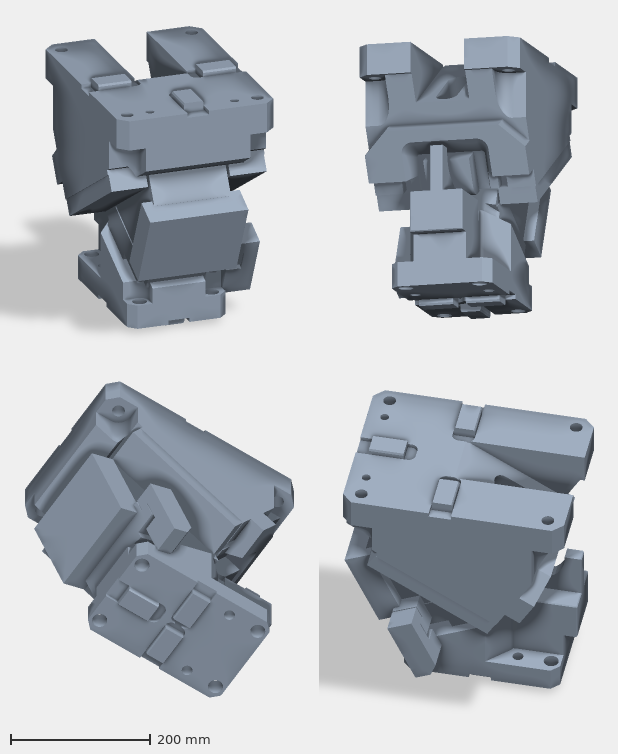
import cadquery as cq
import math

FAR = 558.0

SLIDE_ANGLE = 30.0
SLIDE_X, SLIDE_Z = 82.5, 153.3
DRIVE_ANGLE = 25.0
DRIVE_X, DRIVE_Z = 81.0, 117.5

HOLDER_X0, HOLDER_X1 = -14.5, 310.0
HOLDER_WIDTH = 240.0
HOLDER_TOP = 355.0
HOLDER_PLATE = 45.0
HOLDER_CHAMFER = 15.0
SLIDE_LENGTH = 204.2
STOP_GROOVE_END, STOP_GROOVE_DEPTH = 216.0, 7.5
STOP_LIP = 9.0
FLANGE_THICK, FLANGE_TOP, FLANGE_CHAMFER = 25.0, 103.8, 35.0
NOTCH_HEIGHT = 26.5
POCKET_DEPTH = 27.5
POCKET_TOP, POCKET_HALF_WIDTH, POCKET_RADIUS = 85.0, 64.7, 16.7
POCKET_FLOOR_RADIUS = 4.5
POCKET_SIDE_DRAFT, POCKET_TOP_DRAFT = 14.0, 27.5
SPRING_STOP_WIDTH, SPRING_STOP_TOP, SPRING_STOP_BOTTOM = 68.5, 56.0, -3.5
SPRING_STOP_FRONT, SPRING_STOP_RADIUS = -26.0, 14.0
RAMP_LEVEL, RAMP_WIDTH = 136.0, 80.0
RAMP_SLOT_U, RAMP_SLOT_LENGTH, RAMP_SLOT_WIDTH, RAMP_SLOT_DEPTH = 59.5, 100.5, 31.2, 47.5
BOLT_X, BOLT_Y, BOLT_DIA, BOLT_CLEARANCE = (10.5, 284.2), 99.7, 18.2, 19.7
DOWEL_Y, DOWEL_DIA, DOWEL_DEPTH = 64.7, 12.5, 29.8
GIB_START, GIB_THICK, GIB_INNER, GIB_OUTER = 0.7, 24.5, 63.0, 118.5
MOUTH_DEPTH, MOUTH_HALF_WIDTH = 18.5, 78.0

KEY_SLOT_DEPTH, KEY_SLOT_WIDTH, KEY_SLOT_RADIUS = 6.5, 32.7, 10.5
KEY_WIDTH, KEY_LENGTH, KEY_HEIGHT = 30.5, 50.5, 8.5
KEY_CHAMFER_WIDTH, KEY_CHAMFER_HEIGHT = 1.5, 3.0

BASE_LENGTH, BASE_WIDTH, BASE_PLATE, BASE_CHAMFER = 229.0, 150.3, 35.7, 12.0
COLUMN_WIDTH, COLUMN_TOP = 79.0, 118.3
COLUMN_END = 68.5
CORNER_X, CORNER_Y = 73.5, 39.8
WEDGE_X, WEDGE_Y = 76.0, 43.5
POST_X0, POST_X1, POST_BOTTOM, POST_TOP = -20.0, 60.5, 74.8, 134.3
POST_CHAMFER, POST_SLIT, POST_SLIT_BOTTOM = 1.5, 1.5, 103.5
FIN_THICK, FIN_TOP, FIN_TOP_X, FIN_END_X, FIN_END_Z = 19.0, 200.0, 5.0, 44.0, 149.5
FIN_ARC_X, FIN_ARC_Z = 9.0, 177.5
FIN_SLOPE_X, FIN_SLOPE_Z = 19.0, 163.5
GUIDE_START, GUIDE_STEP, GUIDE_END = -2.0, 86.3, 147.0
GUIDE_HALF_WIDTH, GUIDE_REAR_HALF_WIDTH = 60.3, 44.5
GUIDE_SIDE, GUIDE_RIDGE, GUIDE_CHAMFER = 12.3, 27.0, 18.0
TAIL_WIDTH, TAIL_LEVEL = 81.0, 9.5
BASE_BOLT_INSET, BASE_BOLT_Y, BASE_BOLT_DIA, BASE_BOLT_CLEARANCE = 15.0, 55.0, 21.5, 14.5
BASE_DOWEL_X, BASE_DOWEL_DIA = 63.5, 15.5
CLAW_START, CLAW_OUTER, CLAW_TOP, CLAW_BOTTOM, CLAW_CHAMFER = 108.0, 119.0, 66.0, -32.5, 14.5
CLAW_GAP, CLAW_FLOOR = 2.0, 14.5

NECK_HALF_WIDTH = 58.8
HEAD_START, HEAD_END, HEAD_BOTTOM, HEAD_TOP = 137.3, 178.0, 50.0, 169.5
RAIL_NECK_Y, RAIL_Y, RAIL_TOP, RAIL_BOTTOM = 82.5, 96.5, 45.5, 23.5


def tilted_plane(x, z, angle):
    """Side plane whose first axis leans up by angle degrees; its second axis points upward."""
    a = math.radians(angle)
    return cq.Plane(origin=(x, 0, z), xDir=(math.cos(a), 0, math.sin(a)), normal=(0, -1, 0))


UPRIGHT = tilted_plane(0, 0, 0)
SLIDE = tilted_plane(SLIDE_X, SLIDE_Z, SLIDE_ANGLE)
DRIVE = tilted_plane(DRIVE_X, DRIVE_Z, -DRIVE_ANGLE)


def slab(plane, points, y0, y1):
    """Side outline extruded from y0 to y1."""
    return cq.Workplane(plane).workplane(offset=-y1).polyline(points).close().extrude(y1 - y0)


def block(plane, a0, a1, b0, b1, y0, y1):
    """Rectangular block in a side plane, from y0 to y1."""
    return slab(plane, [(a0, b0), (a1, b0), (a1, b1), (a0, b1)], y0, y1)


def upright_box(x0, x1, y0, y1, z0, z1):
    return block(UPRIGHT, x0, x1, z0, z1, y0, y1)


def vertical_holes(points, diameter, z0, z1):
    return cq.Workplane("XY", origin=(0, 0, z0)).pushPoints(points).circle(diameter / 2).extrude(z1 - z0)


def corner_reliefs(x, outward, y, radius, z0, z1):
    """Clearances around the bolts at one end: square toward the outside, rounded toward the middle."""
    reach = BASE_WIDTH / 2
    reliefs = cq.Workplane("XY")
    for side in (-1, 1):
        xs = sorted((x - outward * radius, x + outward * reach))
        ys = sorted((side * (y - radius), side * (y + reach)))
        relief = upright_box(*xs, *ys, z0, z1)
        inner = cq.selectors.NearestToPointSelector((x - outward * radius, side * (y - radius), (z0 + z1) / 2))
        reliefs = reliefs.add(relief.edges(inner).fillet(radius - 0.05))
    return reliefs.combine()


def key_slot(length):
    """Slot below Z = 0, running along +X from its inner end at the origin."""
    slot = upright_box(0, length, -KEY_SLOT_WIDTH / 2, KEY_SLOT_WIDTH / 2, -KEY_SLOT_DEPTH, KEY_HEIGHT)
    return slot.edges("|Z and <X").fillet(KEY_SLOT_RADIUS)


def key(start):
    """Key seated in a slot along +X, with its two long top edges chamfered."""
    half = KEY_WIDTH / 2
    profile = [
        (-half, -KEY_SLOT_DEPTH), (half, -KEY_SLOT_DEPTH), (half, KEY_HEIGHT - KEY_CHAMFER_HEIGHT),
        (half - KEY_CHAMFER_WIDTH, KEY_HEIGHT), (KEY_CHAMFER_WIDTH - half, KEY_HEIGHT),
        (-half, KEY_HEIGHT - KEY_CHAMFER_HEIGHT),
    ]
    return cq.Workplane("YZ", origin=(start, 0, 0)).polyline(profile).close().extrude(KEY_LENGTH)


def below_gibs():
    return block(SLIDE, -FAR, FAR, -FAR, -GIB_THICK, -FAR, FAR)


def guide_roof():
    """Space below the roof-shaped guide faces, along the whole drive line."""
    half = GUIDE_HALF_WIDTH
    plane = cq.Plane(origin=DRIVE.origin.toTuple(), xDir=(0, 1, 0), normal=DRIVE.xDir.toTuple())
    points = [(-half, -FAR), (half, -FAR), (half, GUIDE_SIDE), (0, GUIDE_RIDGE), (-half, GUIDE_SIDE)]
    return cq.Workplane(plane).polyline(points).close().extrude(FAR, both=True)


def holder_body():
    half = HOLDER_WIDTH / 2
    plate_bottom = HOLDER_TOP - HOLDER_PLATE
    plate = upright_box(HOLDER_X0, HOLDER_X1, -half, half, plate_bottom, HOLDER_TOP)
    plate = plate.edges("|Z").chamfer(HOLDER_CHAMFER)
    outline = [
        (0, 0), (SLIDE_LENGTH, 0),
        (SLIDE_LENGTH, STOP_GROOVE_DEPTH), (STOP_GROOVE_END, STOP_GROOVE_DEPTH),
        (STOP_GROOVE_END, -STOP_LIP), (FAR, -STOP_LIP), (FAR, FAR), (0, FAR),
    ]
    trunk = slab(SLIDE, outline, -half, half)
    trunk = trunk.intersect(upright_box(HOLDER_X0, HOLDER_X1, -half, half, 0, plate_bottom))
    for x, outward in zip(BOLT_X, (-1, 1)):
        trunk = trunk.cut(corner_reliefs(x, outward, BOLT_Y, BOLT_CLEARANCE, 0, plate_bottom))
    return plate.union(trunk)


def holder_flange():
    """Thick apron on the sloped front with chamfered upper corners."""
    half = HOLDER_WIDTH / 2
    apron = block(SLIDE, -FLANGE_THICK, 0, NOTCH_HEIGHT, FLANGE_TOP, -half, half)
    upper_corners = cq.selectors.ParallelDirSelector(SLIDE.xDir)
    return apron.edges(upper_corners).edges(">Z").chamfer(FLANGE_CHAMFER)


def pocket_outline(depth, inset_side, inset_top, radius):
    """Closed pocket contour at a depth behind the apron face, running out below the slide line."""
    face = cq.Plane(
        origin=SLIDE.toWorldCoords((depth - FLANGE_THICK, 0, 0)).toTuple(),
        xDir=(0, -1, 0), normal=(-SLIDE.xDir).toTuple(),
    )
    half = POCKET_HALF_WIDTH - inset_side
    top = POCKET_TOP - inset_top
    outline = (
        cq.Workplane(face)
        .moveTo(-half, -GIB_THICK).lineTo(-half, top - radius).radiusArc((-half + radius, top), radius)
        .lineTo(half - radius, top).radiusArc((half, top - radius), radius)
        .lineTo(half, -GIB_THICK).close()
    )
    return outline.val()


def flange_pocket():
    """Drafted pocket in the apron, open at the bottom."""
    mouth_outline = pocket_outline(0, 0, 0, POCKET_RADIUS)
    floor_outline = pocket_outline(POCKET_DEPTH, POCKET_SIDE_DRAFT, POCKET_TOP_DRAFT, POCKET_FLOOR_RADIUS)
    return cq.Workplane(cq.Solid.makeLoft([mouth_outline, floor_outline], True))


def spring_stop():
    """Block standing on the pocket floor, rounded underneath."""
    half = SPRING_STOP_WIDTH / 2
    back = POCKET_DEPTH - FLANGE_THICK
    stop = block(SLIDE, SPRING_STOP_FRONT, back, SPRING_STOP_BOTTOM, SPRING_STOP_TOP, -half, half)
    return stop.edges("|Y and <Z").fillet(SPRING_STOP_RADIUS)


def ramp_cut():
    """Sloped channel in the top with a round-ended slot sunk square to its floor."""
    half = RAMP_WIDTH / 2
    channel = block(SLIDE, -FAR, FAR, RAMP_LEVEL, FAR, -half, half)
    floor = cq.Plane(
        origin=SLIDE.toWorldCoords((RAMP_SLOT_U, RAMP_LEVEL, 0)).toTuple(),
        xDir=SLIDE.xDir.toTuple(), normal=SLIDE.yDir.toTuple(),
    )
    slot = cq.Workplane(floor).slot2D(RAMP_SLOT_LENGTH, RAMP_SLOT_WIDTH).extrude(-RAMP_SLOT_DEPTH)
    return channel.union(slot)


def mouth():
    """Opening at the lower end of the slide, above the inner parts of the gibs."""
    opening = cq.Workplane("XY")
    for y0, y1 in ((-MOUTH_HALF_WIDTH, -POCKET_HALF_WIDTH), (POCKET_HALF_WIDTH, MOUTH_HALF_WIDTH)):
        opening = opening.add(block(SLIDE, 0, MOUTH_DEPTH, 0, NOTCH_HEIGHT, y0, y1))
    return opening.combine()


def make_holder():
    holder = holder_body()
    bolts = [(x, side * BOLT_Y) for x in BOLT_X for side in (-1, 1)]
    holder = holder.cut(vertical_holes(bolts, BOLT_DIA, 0, HOLDER_TOP))
    dowels = [(BOLT_X[1], side * DOWEL_Y) for side in (-1, 1)]
    holder = holder.cut(vertical_holes(dowels, DOWEL_DIA, HOLDER_TOP - DOWEL_DEPTH, HOLDER_TOP))
    holder = holder.union(holder_flange()).cut(flange_pocket()).cut(mouth()).union(spring_stop()).cut(ramp_cut())
    for y0, y1 in ((-GIB_OUTER, -GIB_INNER), (GIB_INNER, GIB_OUTER)):
        holder = holder.union(block(SLIDE, GIB_START, SLIDE_LENGTH, -GIB_THICK, 0, y0, y1))
    for x, y, heading, start in ((224.0, 0, 0, 16.0), (164.8, 38.5, 90, 16.5), (164.8, -38.5, -90, 16.5)):
        place = cq.Location((x, y, HOLDER_TOP), (0, 0, 1), heading)
        holder = holder.cut(cq.Workplane(key_slot(HOLDER_WIDTH / 2).val().moved(place)))
        holder = holder.union(cq.Workplane(key(start).val().moved(place)))
    return holder


def base_block():
    half = BASE_WIDTH / 2
    inner = COLUMN_WIDTH / 2
    wedge_end = WEDGE_X + half - WEDGE_Y
    plate = upright_box(0, BASE_LENGTH, -half, half, 0, BASE_PLATE).edges("|Z").chamfer(BASE_CHAMFER)
    plan = [
        (COLUMN_END, -inner), (CORNER_X, -CORNER_Y), (WEDGE_X, -WEDGE_Y), (wedge_end, -half),
        (BASE_LENGTH, -half), (BASE_LENGTH, half),
        (wedge_end, half), (WEDGE_X, WEDGE_Y), (CORNER_X, CORNER_Y), (COLUMN_END, inner),
    ]
    body = cq.Workplane("XY").workplane(offset=BASE_PLATE).polyline(plan).close().extrude(FAR)
    body = body.intersect(block(DRIVE, -FAR, FAR, -FAR, 0, -half, half))
    body = body.cut(upright_box(0, CORNER_X, -half, half, COLUMN_TOP, FAR))
    tail = block(DRIVE, GUIDE_END, FAR, -GUIDE_END, TAIL_LEVEL, -TAIL_WIDTH / 2, TAIL_WIDTH / 2)
    tail = tail.intersect(upright_box(0, BASE_LENGTH, -half, half, BASE_PLATE, HOLDER_TOP))
    bolt_x = BASE_LENGTH - BASE_BOLT_INSET
    reliefs = corner_reliefs(bolt_x, 1, BASE_BOLT_Y, BASE_BOLT_CLEARANCE, BASE_PLATE, HOLDER_TOP)
    return plate.union(body.cut(reliefs)).union(tail)


def post():
    """Column at the front with an overhanging block that carries a thin curved fin."""
    half = COLUMN_WIDTH / 2
    column = upright_box(0, COLUMN_END, -half, half, BASE_PLATE, COLUMN_TOP)
    head = upright_box(POST_X0, POST_X1, -half, half, POST_BOTTOM, POST_TOP)
    fin = (
        cq.Workplane(UPRIGHT).moveTo(POST_X0, POST_TOP).lineTo(POST_X0, FIN_TOP)
        .lineTo(FIN_TOP_X, FIN_TOP)
        .threePointArc((FIN_ARC_X, FIN_ARC_Z), (FIN_SLOPE_X, FIN_SLOPE_Z))
        .lineTo(FIN_END_X, FIN_END_Z).lineTo(FIN_END_X, POST_TOP).close().extrude(FIN_THICK / 2, both=True)
    )
    head = head.edges("|X and >Z").chamfer(POST_CHAMFER).union(fin)
    head = head.faces("<X").edges().chamfer(POST_CHAMFER)
    slit = upright_box(POST_X1, POST_X1 + POST_SLIT, -half, half, POST_SLIT_BOTTOM, COLUMN_TOP)
    return column.cut(slit).union(head)


def guide():
    """Roof-shaped guide on the sloped top, narrower toward the rear, its two front corners cut off."""
    half = GUIDE_HALF_WIDTH
    bar = block(DRIVE, GUIDE_START, GUIDE_STEP, 0, GUIDE_RIDGE, -half, half)
    edges = cq.selectors.ParallelDirSelector(DRIVE.yDir)
    bar = bar.edges(edges).edges("<X").chamfer(GUIDE_CHAMFER)
    rear_half = GUIDE_REAR_HALF_WIDTH
    rear = block(DRIVE, GUIDE_STEP, GUIDE_END, 0, GUIDE_RIDGE, -rear_half, rear_half)
    return bar.union(rear).intersect(guide_roof())


def claw():
    """Hook on the +Y side that reaches around and over the return rail of the slider."""
    half = BASE_WIDTH / 2
    outline = [
        (CLAW_START, CLAW_BOTTOM + CLAW_CHAMFER), (CLAW_START + CLAW_CHAMFER, CLAW_BOTTOM),
        (GUIDE_END, CLAW_BOTTOM), (GUIDE_END, CLAW_TOP), (CLAW_START, CLAW_TOP),
    ]
    hook = slab(DRIVE, outline, half, CLAW_OUTER)
    neck_room = block(DRIVE, CLAW_START, GUIDE_END, CLAW_FLOOR, CLAW_TOP, half, RAIL_NECK_Y + CLAW_GAP)
    rail_room = block(DRIVE, CLAW_START, GUIDE_END, CLAW_FLOOR, RAIL_TOP, half, RAIL_Y + CLAW_GAP)
    return hook.cut(neck_room).cut(rail_room)


def make_base():
    base = base_block().union(post()).union(guide()).union(claw())
    ends = (BASE_BOLT_INSET, BASE_LENGTH - BASE_BOLT_INSET)
    bolts = [(x, side * BASE_BOLT_Y) for x in ends for side in (-1, 1)]
    base = base.cut(vertical_holes(bolts, BASE_BOLT_DIA, 0, BASE_PLATE))
    dowels = [(BASE_DOWEL_X, side * BASE_BOLT_Y) for side in (-1, 1)]
    base = base.cut(vertical_holes(dowels, BASE_DOWEL_DIA, 0, BASE_PLATE))
    for x, heading, start in ((143.0, 0, 16.0), (115.5, 90, 9.5), (115.5, -90, 9.5)):
        place = cq.Location((x, 0, 0), (0, 0, 1), heading) * cq.Location((0, 0, 0), (1, 0, 0), 180)
        base = base.cut(cq.Workplane(key_slot(BASE_LENGTH / 2).val().moved(place)))
        base = base.union(cq.Workplane(key(start).val().moved(place)))
    return base


def return_rail():
    """Stepped arm on the +Y side that runs inside the claw of the base."""
    neck = block(DRIVE, CLAW_START, GUIDE_END, RAIL_TOP, CLAW_TOP, 0, RAIL_NECK_Y)
    return neck.union(block(DRIVE, CLAW_START, GUIDE_END, RAIL_BOTTOM, RAIL_TOP, 0, RAIL_Y))


def make_slider():
    half = BASE_WIDTH / 2
    neck = block(DRIVE, GUIDE_START, GUIDE_END, GUIDE_SIDE, FAR, -NECK_HALF_WIDTH, NECK_HALF_WIDTH)
    neck = neck.intersect(block(SLIDE, -FAR, SLIDE_LENGTH, -FAR, 0, -half, half))
    foot = block(DRIVE, GUIDE_START, GUIDE_END, GUIDE_SIDE, HEAD_BOTTOM, -GUIDE_HALF_WIDTH, GUIDE_HALF_WIDTH)
    foot = foot.intersect(below_gibs())
    head = block(DRIVE, HEAD_START, HEAD_END, HEAD_BOTTOM, HEAD_TOP, -half, half)
    return neck.union(foot).union(head).union(return_rail()).cut(guide_roof())


holder = make_holder()
base = make_base()
slider = make_slider()
result = cq.Compound.makeCompound([holder.solids().val(), base.solids().val(), slider.solids().val()])